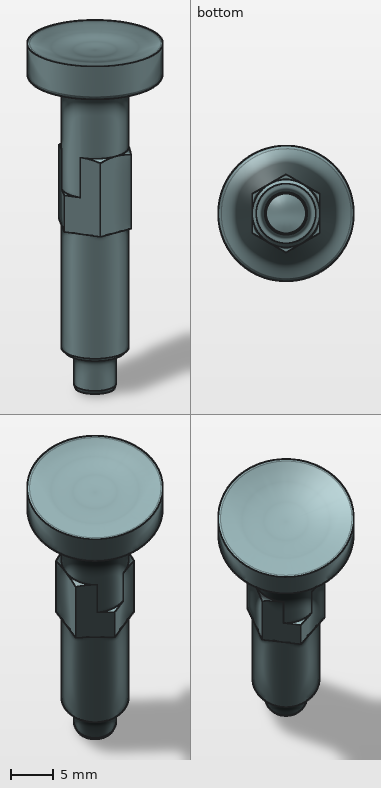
import cadquery as cq
import math

total_height = 43.6
pin_length = 5.0
hex_bottom = 20.95
notch_floor = 25.55
hex_top = 30.55
knob_bottom = 38.0

knob_radius = 16.0 / 2
body_radius = 8.0 / 2
pin_radius = 5.0 / 2

knob_cone_height = 1.45
knob_fillet = 0.52
rim_width = 0.25
dish_depth = 0.87
body_chamfer = 0.5
tip_dome_height = 0.45
tip_bevel_width = 0.17
tip_bevel_height = 0.5

hex_corner_diameter = 2 * body_radius / math.cos(math.radians(30))
hex_bevel_angle = 30
notch_width = 3.58


def make_pin():
    """Pin with a bevelled edge and a domed tip."""
    dome_edge = pin_radius - tip_bevel_width
    sphere_radius = (dome_edge**2 + tip_dome_height**2) / (2 * tip_dome_height)
    mid_radius = dome_edge / 2
    mid_height = sphere_radius - math.sqrt(sphere_radius**2 - mid_radius**2)
    return (
        cq.Workplane("XZ")
        .moveTo(0, 0)
        .threePointArc((mid_radius, mid_height), (dome_edge, tip_dome_height))
        .lineTo(pin_radius, tip_dome_height + tip_bevel_height)
        .lineTo(pin_radius, pin_length)
        .lineTo(0, pin_length)
        .close()
        .revolve(360, (0, 0, 0), (0, 1, 0))
    )


def make_body():
    """Plain cylinder from the pin shoulder up to the knob."""
    height = knob_bottom - pin_length
    body = cq.Workplane("XY").workplane(offset=pin_length).circle(body_radius).extrude(height)
    return body.faces("<Z").chamfer(body_chamfer)


def make_hexagon():
    """Hexagon with its top corners bevelled and a notch across its two Y corners."""
    height = hex_top - hex_bottom
    corner_radius = hex_corner_diameter / 2
    bevel_drop = (corner_radius - body_radius) * math.tan(math.radians(hex_bevel_angle))
    hexagon = (
        cq.Workplane("XY")
        .workplane(offset=hex_bottom)
        .polygon(6, hex_corner_diameter)
        .extrude(height)
        .rotate((0, 0, 0), (0, 0, 1), 90)
    )
    bevel_envelope = (
        cq.Workplane("XZ")
        .moveTo(0, hex_bottom)
        .lineTo(corner_radius, hex_bottom)
        .lineTo(corner_radius, hex_top - bevel_drop)
        .lineTo(body_radius, hex_top)
        .lineTo(0, hex_top)
        .close()
        .revolve(360, (0, 0, 0), (0, 1, 0))
    )
    notch = (
        cq.Workplane("XY")
        .workplane(offset=notch_floor)
        .rect(notch_width, hex_corner_diameter)
        .extrude(hex_top - notch_floor)
    )
    return hexagon.intersect(bevel_envelope).cut(notch)


def make_knob():
    """Round knob with a conical underside and a dished top."""
    dish_edge = knob_radius - rim_width
    sphere_radius = (dish_edge**2 + dish_depth**2) / (2 * dish_depth)
    cone_top = knob_bottom + knob_cone_height
    knob = (
        cq.Workplane("XZ")
        .moveTo(0, knob_bottom)
        .lineTo(body_radius, knob_bottom)
        .lineTo(knob_radius, cone_top)
        .lineTo(knob_radius, total_height)
        .lineTo(0, total_height)
        .close()
        .revolve(360, (0, 0, 0), (0, 1, 0))
    )
    cone_edge = cq.selectors.NearestToPointSelector((0, 0, cone_top))
    knob = knob.edges("%CIRCLE").edges(cone_edge).fillet(knob_fillet)
    dish_center = total_height - dish_depth + sphere_radius
    dish = cq.Workplane("XY").sphere(sphere_radius).translate((0, 0, dish_center))
    return knob.cut(dish)


result = make_body().union(make_hexagon()).union(make_pin()).union(make_knob())